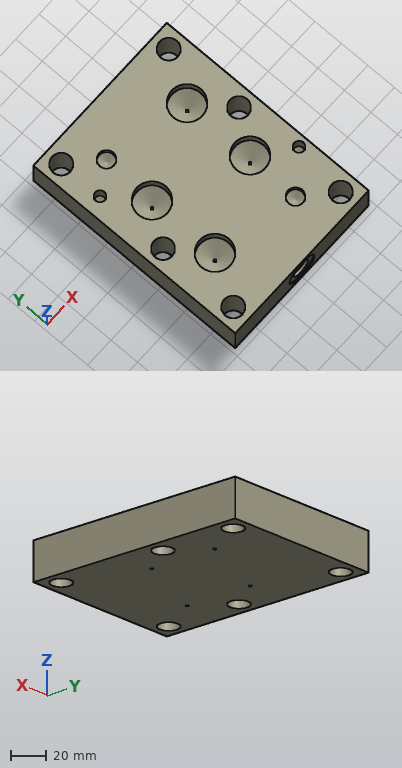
import cadquery as cq
import math

WIDTH = 114.3
LENGTH = 152.4
HEIGHT = 25.5

DRILL_POINT_ANGLE = 118.0

BOLT_DIAMETER = 13.5
BOLT_X = 46.0
BOLT_Y = 64.9

PORT_DIAMETER = 23.0
PORT_DEPTH = 6.9
PORT_X = 28.5
PORT_PITCH = 47.5
PORT_INNER_Y = PORT_PITCH / 4
PORT_OUTER_Y = PORT_INNER_Y + PORT_PITCH / 2
ORIFICE_DIAMETER = 1.7

PILOT_DIAMETER = 11.1
PILOT_DEPTH = 3.4
PILOT_X = 27.0
PILOT_Y = 47.5

PIN_DEPTH = 9.1
PIN_DIAMETER = 7.2
RIGHT_PIN_X = 50.7
RIGHT_PIN_Y = -29.3

SPOTFACE_DIAMETER = 21.3
SPOTFACE_DEPTH = 0.8
MOUTH_DIAMETER = 12.3
MOUTH_DEPTH = 2.9
PRESSURE_DIAMETER = 9.5
PRESSURE_DEPTH = 24.4


def drilled_hole(diameter, depth):
    """Cutter for a blind hole going down from Z = 0, full diameter to depth, then a conical tip."""
    radius = diameter / 2
    tip_depth = depth + radius / math.tan(math.radians(DRILL_POINT_ANGLE / 2))
    profile = [(0, 0), (radius, 0), (radius, -depth), (0, -tip_depth)]
    return cq.Workplane("XZ").polyline(profile).close().revolve(360, (0, 0), (0, 1))


def drill_top(body, diameter, depth, places):
    """Cut the same blind hole into the top face at each place."""
    cutter = drilled_hole(diameter, depth)
    for x, y in places:
        body = body.cut(cutter.translate((x, y, HEIGHT)))
    return body


bolt_places = [(sx * BOLT_X, sy * BOLT_Y) for sx in (-1, 1) for sy in (-1, 1)]
bolt_places += [(-BOLT_X, -PORT_INNER_Y), (BOLT_X, PORT_INNER_Y)]

port_places = [
    (-PORT_X, PORT_INNER_Y),
    (-PORT_X, -PORT_OUTER_Y),
    (PORT_X, PORT_OUTER_Y),
    (PORT_X, -PORT_INNER_Y),
]

block = cq.Workplane("XY").box(WIDTH, LENGTH, HEIGHT, centered=(True, True, False))

for diameter, places in [(BOLT_DIAMETER, bolt_places), (ORIFICE_DIAMETER, port_places)]:
    block = block.cut(cq.Workplane("XY").pushPoints(places).circle(diameter / 2).extrude(HEIGHT))

block = drill_top(block, PORT_DIAMETER, PORT_DEPTH, port_places)
block = drill_top(block, PILOT_DIAMETER, PILOT_DEPTH, [(-PILOT_X, PILOT_Y), (PILOT_X, -PILOT_Y)])
pin_places = [(-BOLT_X, PORT_OUTER_Y), (RIGHT_PIN_X, RIGHT_PIN_Y)]
block = drill_top(block, PIN_DIAMETER, PIN_DEPTH, pin_places)

pressure_cutter = (
    drilled_hole(PRESSURE_DIAMETER, PRESSURE_DEPTH)
    .union(cq.Workplane("XY").circle(MOUTH_DIAMETER / 2).extrude(-MOUTH_DEPTH))
    .union(cq.Workplane("XY").circle(SPOTFACE_DIAMETER / 2).extrude(-SPOTFACE_DEPTH))
    .rotate((0, 0, 0), (1, 0, 0), 90)
    .translate((0, -LENGTH / 2, HEIGHT / 2))
)
result = block.cut(pressure_cutter)